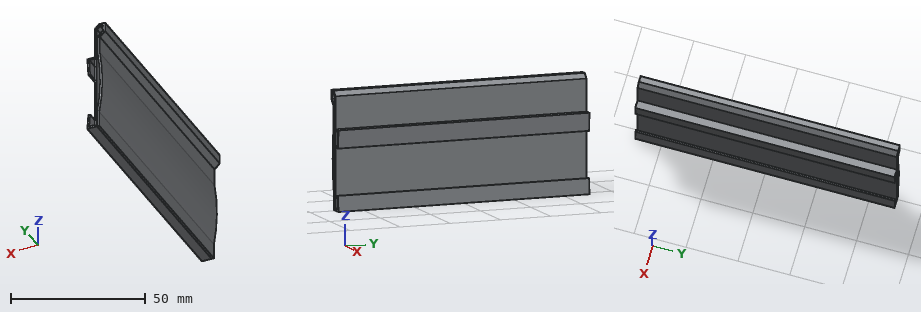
import cadquery as cq
import math

length = 100.0
height = 44.9
depth = 7.3

wall = 0.9
plate_back = 4.2
plate_front = plate_back - wall

hook_chamfer = 1.8
hook_face_height = 3.7
corner_shift = wall * math.tan(math.radians(22.5))

upper_gap = 0.3
lower_gap = 0.05
bulge_top = 32.1
bulge_bottom = 6.1
bulge_rise = 1.1

upper_rail_top = 30.7
upper_shelf = 0.6
upper_rail_height = 6.9
lower_shelf = 0.9
lower_rail_height = 6.0
lip_thickness = 0.8
lip_lean = 0.4

upper_inner = plate_front - upper_gap
upper_outer = upper_inner - wall
lower_inner = plate_front - lower_gap
lower_outer = lower_inner - wall
bulge_middle_z = (bulge_top + bulge_bottom) / 2
bulge_outer = (upper_outer + lower_outer) / 2 - bulge_rise
bulge_inner = bulge_outer + wall

hook_face_bottom = height - hook_face_height
slope_bottom = hook_face_bottom - upper_outer


def extrude(profile):
    """Extrude an XZ profile along Y, centred on the origin."""
    return profile.close().extrude(length / 2, both=True)


def plate_and_sheet():
    """Back plate folded over the hook into the free-hanging front sheet."""
    profile = (
        cq.Workplane("XZ")
        .moveTo(plate_back, 0)
        .lineTo(plate_back, height - hook_chamfer)
        .lineTo(plate_back - hook_chamfer, height)
        .lineTo(0, height)
        .lineTo(0, hook_face_bottom)
        .lineTo(upper_outer, slope_bottom)
        .lineTo(upper_outer, bulge_top)
        .threePointArc((bulge_outer, bulge_middle_z), (lower_outer, bulge_bottom))
        .lineTo(lower_outer, 0)
        .lineTo(lower_inner, 0)
        .lineTo(lower_inner, bulge_bottom)
        .threePointArc((bulge_inner, bulge_middle_z), (upper_inner, bulge_top))
        .lineTo(upper_inner, slope_bottom + corner_shift)
        .lineTo(wall, hook_face_bottom + corner_shift)
        .lineTo(wall, height - wall)
        .lineTo(plate_back - hook_chamfer - corner_shift, height - wall)
        .lineTo(plate_front, height - hook_chamfer - corner_shift)
        .lineTo(plate_front, 0)
    )
    return extrude(profile)


def rail(base_z, direction, shelf, rail_height):
    """Shelf at base_z with a leaning lip; direction is +1 up or -1 down."""
    tip_z = base_z + direction * rail_height
    shelf_z = base_z + direction * shelf
    lip_root = depth - lip_thickness - lip_lean * shelf / rail_height
    tip_back = depth - lip_lean
    root_x = plate_back - wall / 2
    profile = (
        cq.Workplane("XZ")
        .moveTo(root_x, base_z)
        .lineTo(depth, base_z)
        .lineTo(tip_back, tip_z)
        .lineTo(tip_back - lip_thickness, tip_z)
        .lineTo(lip_root, shelf_z)
        .lineTo(root_x, shelf_z)
    )
    return extrude(profile)


upper_rail = rail(upper_rail_top, -1, upper_shelf, upper_rail_height)
lower_rail = rail(0, 1, lower_shelf, lower_rail_height)
result = plate_and_sheet().union(upper_rail).union(lower_rail)